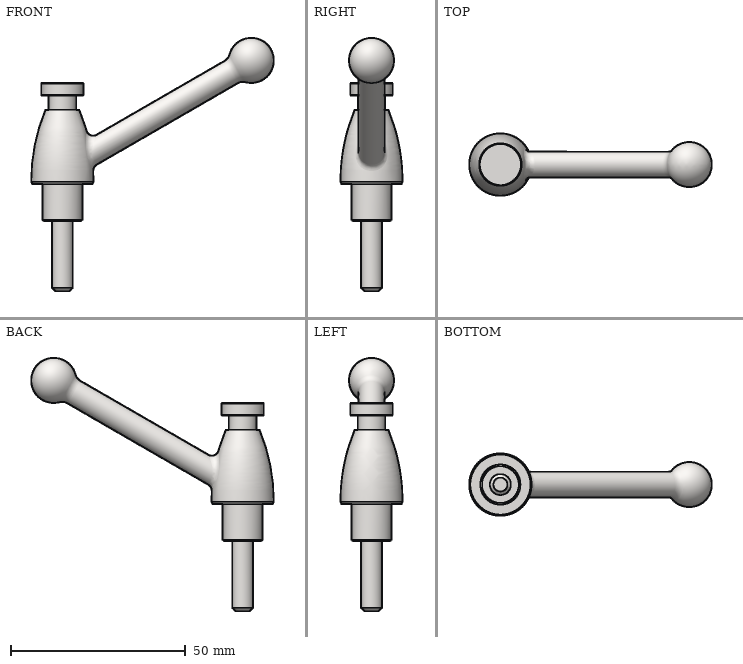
import cadquery as cq
import math

collar_bottom = 20.0
hub_bottom = 30.7
hub_top = 51.9
button_bottom = 56.0
button_top = 59.6

pin_diameter = 6.0
collar_diameter = 11.5
hub_base_diameter = 17.9
hub_top_diameter = 9.7
neck_diameter = 8.0
button_diameter = 12.2

pin_chamfer = 1.0
collar_chamfer = 0.5
hub_chamfer_width = 0.35
hub_chamfer_height = 0.7
button_chamfer = 0.2

overall_length = 69.45
overall_height = 72.5
ball_diameter = 13.0
lever_diameter = 7.5
lever_angle = 30.0
hub_blend_radius = 1.95
ball_blend_radius = 3.0

ball_radius = ball_diameter / 2
ball_x = overall_length - hub_base_diameter / 2 - ball_radius
ball_z = overall_height - ball_radius
slope = math.radians(lever_angle)
lever_direction = cq.Vector(math.cos(slope), 0, math.sin(slope))
lever_length = ball_x / math.cos(slope)
lever_start_z = ball_z - ball_x * math.tan(slope)


def cylinder(diameter, bottom, top):
    """Upright cylinder on the clamping axis."""
    return cq.Workplane("XY", origin=(0, 0, bottom)).circle(diameter / 2).extrude(top - bottom)


def make_hub():
    """Domed hub whose side is an arc that starts vertical above the base edge break."""
    base_radius = hub_base_diameter / 2
    top_radius = hub_top_diameter / 2
    arc_bottom = hub_bottom + hub_chamfer_height
    arc_height = hub_top - arc_bottom
    narrowing = base_radius - top_radius
    arc_radius = (arc_height**2 + narrowing**2) / (2 * narrowing)
    half_sweep = math.asin(arc_height / arc_radius) / 2
    arc_middle = (
        -base_radius + arc_radius * (1 - math.cos(half_sweep)),
        arc_bottom + arc_radius * math.sin(half_sweep),
    )
    return (
        cq.Workplane("XZ")
        .moveTo(0, hub_bottom)
        .lineTo(hub_chamfer_width - base_radius, hub_bottom)
        .lineTo(-base_radius, arc_bottom)
        .threePointArc(arc_middle, (-top_radius, hub_top))
        .lineTo(0, hub_top)
        .close()
        .revolve(360, (0, 0, 0), (0, 1, 0))
    )


def make_arm():
    """Lever, concave blend and ball, turned as one outline about the lever axis."""
    lever_radius = lever_diameter / 2
    blend_offset = lever_radius + ball_blend_radius
    centre_distance = ball_radius + ball_blend_radius
    blend_angle = math.asin(blend_offset / centre_distance)
    blend_start = lever_length - centre_distance * math.cos(blend_angle)
    blend_middle_angle = (blend_angle + math.pi / 2) / 2
    blend_middle = (
        blend_offset - ball_blend_radius * math.sin(blend_middle_angle),
        blend_start + ball_blend_radius * math.cos(blend_middle_angle),
    )
    blend_end = (
        ball_radius * math.sin(blend_angle),
        lever_length - ball_radius * math.cos(blend_angle),
    )
    arm_plane = cq.Plane(
        origin=(0, 0, lever_start_z),
        xDir=(-math.sin(slope), 0, math.cos(slope)),
        normal=(0, 1, 0),
    )
    return (
        cq.Workplane(arm_plane)
        .lineTo(lever_radius, 0)
        .lineTo(lever_radius, blend_start)
        .threePointArc(blend_middle, blend_end)
        .threePointArc((ball_radius, lever_length), (0, lever_length + ball_radius))
        .close()
        .revolve(360, (0, 0, 0), (0, 1, 0))
    )


def make_handle():
    """Hub and arm joined with a rounded blend where the lever leaves the hub."""
    hub_exit = cq.Vector(0, 0, lever_start_z) + lever_direction * (hub_base_diameter / 2)
    handle = make_hub().union(make_arm())
    joint = handle.edges(cq.NearestToPointSelector(hub_exit.toTuple()))
    return joint.fillet(hub_blend_radius)


pin = cylinder(pin_diameter, 0, hub_bottom).faces("<Z").chamfer(pin_chamfer)
collar = cylinder(collar_diameter, collar_bottom, hub_bottom).faces("<Z").chamfer(collar_chamfer)
neck = cylinder(neck_diameter, hub_top, button_bottom)
button = cylinder(button_diameter, button_bottom, button_top).edges().chamfer(button_chamfer)

result = make_handle().union(collar).union(pin).union(neck).union(button)